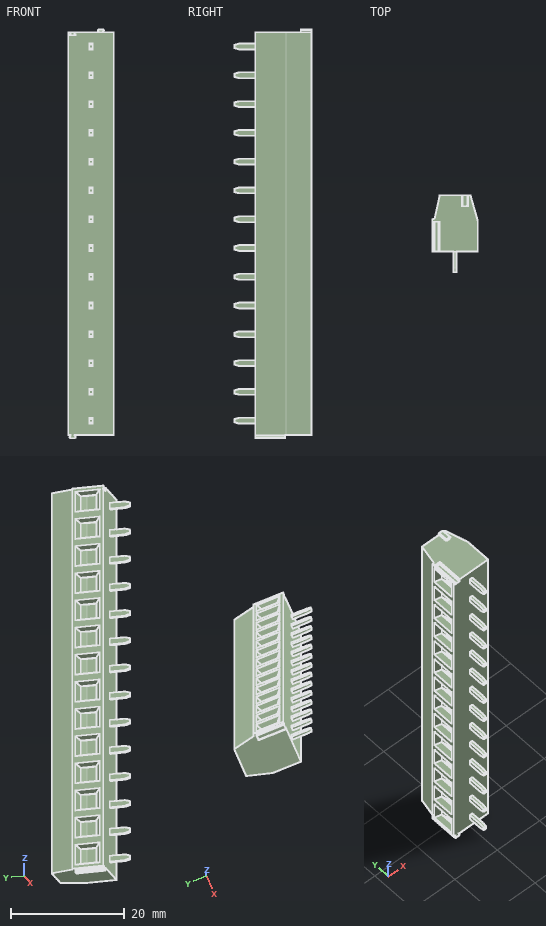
import cadquery as cq
import math

ways = 14
key_rise = 0.5
rail_drop = 0.6
total_height = 72.1
body_height = total_height - key_rise - rail_drop
pitch = body_height / ways

body_width = 8.1
body_depth = 9.95
top_left = 1.3
top_right = 6.8
lip_height = 0.15
ledge_width = 0.4
ledge_depth = 5.7
slope_foot = 5.85
shoulder_depth = 5.4

pin_length = 3.7
pin_width = 0.6
pin_thickness = 1.1
pin_x = 4.05
pin_tip_length = 0.9
pin_tip_thickness = 0.6
pin_root = 0.7

window_bottom = 0.65
window_top = 5.2
window_height = 3.75
funnel_depth = 1.15
funnel_margin_bottom = 1.0
funnel_margin_top = 0.65
funnel_margin_side = 0.5
ramp_foot = 3.45
ramp_fall = 0.3

dovetail_width = 1.15
dovetail_neck = 0.65
dovetail_tip = 0.8
dovetail_bevel = 0.2
rail_x = 0.8
rail_length = 5.3
groove_depth = 0.6
key_x = 5.8
key_length = 1.95


def terminal_height(index):
    """Z of the middle of one terminal."""
    return (index + 0.5) * pitch


def make_body():
    """Block with both sides leaning in towards the narrow top."""
    outline = [
        (0, 0),
        (body_width, 0),
        (body_width, shoulder_depth),
        (top_right, body_depth),
        (top_left, body_depth),
        (top_left, body_depth - lip_height),
        (ledge_width, slope_foot),
        (0, ledge_depth),
    ]
    return cq.Workplane("XY").polyline(outline).close().extrude(body_height)


def make_bar(center_x, start_y, length, levels):
    """Bar along Y whose section is symmetric and given as levels of Z and width."""
    right_side = [(center_x + width / 2, z) for z, width in levels]
    left_side = [(center_x - width / 2, z) for z, width in reversed(levels)]
    section = cq.Workplane("XZ", origin=(0, start_y, 0)).polyline(right_side + left_side).close()
    return section.extrude(-length)


def make_dovetail(center_x, start_y, length, root_z, tip_z):
    """Dovetail bar with a bevelled head, standing up or hanging from root_z."""
    bevel = math.copysign(dovetail_bevel, tip_z - root_z)
    levels = [
        (root_z, dovetail_neck),
        (tip_z - bevel, dovetail_width),
        (tip_z, dovetail_tip),
    ]
    return make_bar(center_x, start_y, length, levels)


def make_groove():
    """Dovetail groove in the top face, flared at its mouth."""
    levels = [
        (body_height, dovetail_width),
        (body_height - groove_depth / 2, dovetail_neck),
        (body_height - groove_depth, dovetail_width),
    ]
    return make_bar(rail_x, 0, rail_length, levels)


def make_pin(center_z):
    """Pin along -Y whose tip narrows in Z."""
    half = pin_thickness / 2
    half_tip = pin_tip_thickness / 2
    taper_start = pin_tip_length - pin_length
    outline = [
        (pin_root, center_z - half),
        (taper_start, center_z - half),
        (-pin_length, center_z - half_tip),
        (-pin_length, center_z + half_tip),
        (taper_start, center_z + half),
        (pin_root, center_z + half),
    ]
    side = cq.Workplane("YZ", origin=(pin_x - pin_width / 2, 0, 0))
    return side.polyline(outline).close().extrude(pin_width)


def make_window(center_z):
    """Funnel into the -X side, with a flat floor and a ramp behind it."""
    floor_bottom = window_bottom + funnel_margin_bottom
    floor_top = window_top - funnel_margin_top
    floor_height = window_height - 2 * funnel_margin_side
    floor_shift = (floor_bottom + floor_top - window_bottom - window_top) / 2
    funnel = (
        cq.Workplane("YZ", origin=(0, (window_bottom + window_top) / 2, center_z))
        .rect(window_top - window_bottom, window_height)
        .workplane(offset=funnel_depth)
        .center(floor_shift, 0)
        .rect(floor_top - floor_bottom, floor_height)
        .loft(ruled=True)
    )
    floor_x = funnel_depth + ramp_fall
    recess_section = [
        (funnel_depth, floor_bottom),
        (floor_x, floor_bottom),
        (floor_x, ramp_foot),
        (funnel_depth, floor_top),
    ]
    recess = (
        cq.Workplane("XY", origin=(0, 0, center_z - floor_height / 2))
        .polyline(recess_section)
        .close()
        .extrude(floor_height)
    )
    return funnel.union(recess)


result = make_body()
for index in range(ways):
    result = result.cut(make_window(terminal_height(index)))
    result = result.union(make_pin(terminal_height(index)))

result = result.cut(make_groove())
result = result.union(make_dovetail(rail_x, 0, rail_length, 0, -rail_drop))

key_start = body_depth - key_length
key_top = body_height + key_rise
result = result.union(make_dovetail(key_x, key_start, key_length, body_height, key_top))